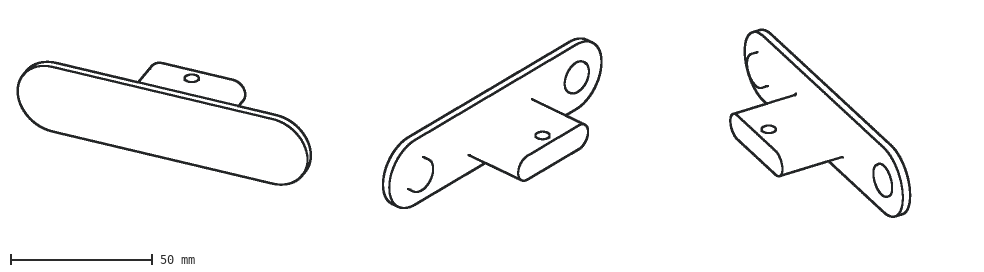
import cadquery as cq

plate_length = 112.0
plate_height = 27.0
plate_thickness = 3.0
boss_offset = (plate_length - plate_height) / 2

total_depth = 30.5
tongue_width = 37.0
tongue_height = 10.0
tongue_root_fillet = 2.6

pin_hole_diameter = 5.0
pin_hole_to_tip = 5.0

boss_rim_fillet = 0.5
low_boss_diameter = 12.0
low_boss_height = 1.0
tall_boss_diameter = 12.5
tall_boss_height = 3.4
tall_boss_root_fillet = 0.6


def stadium(length, height, depth):
    """Bar with fully rounded sides, running along +Y from Y = 0."""
    return cq.Workplane("XZ").slot2D(length, height).extrude(-depth)


def boss(x, diameter, height):
    """Disc on the rear of the plate with a rounded rim, starting at the front face."""
    disc = (
        cq.Workplane("XZ")
        .center(x, 0)
        .circle(diameter / 2)
        .extrude(-(plate_thickness + height))
    )
    return disc.faces(">Y").edges().fillet(boss_rim_fillet)


def root_edges(x, width, height):
    """Select edges on the plate's rear face centred within the given rectangle."""
    margin = 0.1
    return cq.selectors.BoxSelector(
        (x - width / 2 - margin, plate_thickness - margin, -height / 2 - margin),
        (x + width / 2 + margin, plate_thickness + margin, height / 2 + margin),
    )


plate = stadium(plate_length, plate_height, plate_thickness)
tongue = stadium(tongue_width, tongue_height, total_depth)
body = plate.union(tongue)
body = body.edges(root_edges(0, tongue_width, tongue_height)).fillet(tongue_root_fillet)

body = body.union(boss(-boss_offset, low_boss_diameter, low_boss_height))
body = body.union(boss(boss_offset, tall_boss_diameter, tall_boss_height))
tall_boss_root = root_edges(boss_offset, tall_boss_diameter, tall_boss_diameter)
body = body.edges(tall_boss_root).fillet(tall_boss_root_fillet)

pin_hole = (
    cq.Workplane("XY", origin=(0, total_depth - pin_hole_to_tip, 0))
    .circle(pin_hole_diameter / 2)
    .extrude(tongue_height, both=True)
)

result = body.cut(pin_hole)